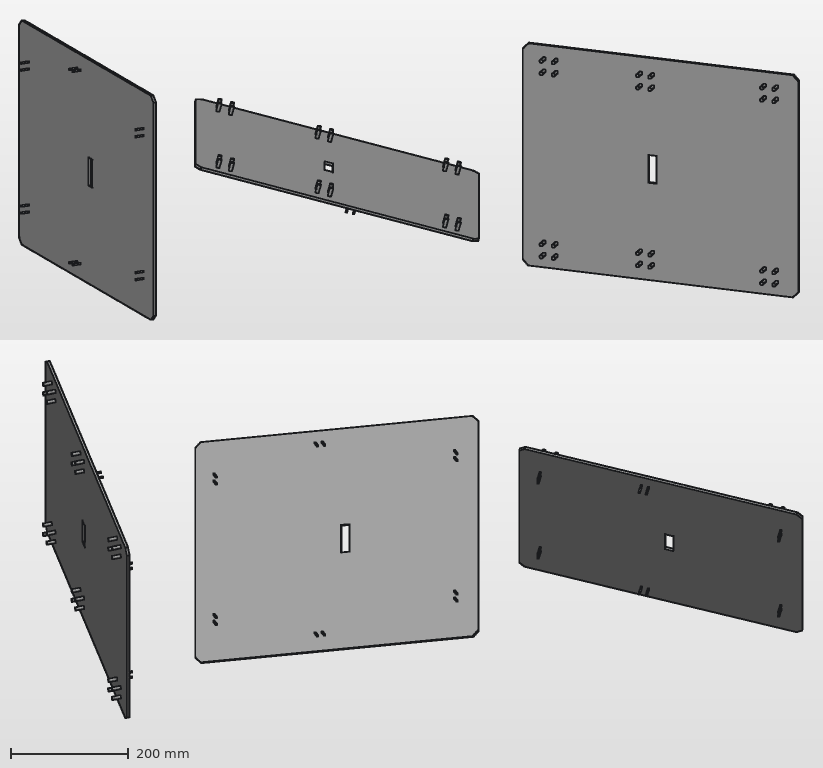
import cadquery as cq

plate_width = 500.0
plate_height = 400.0
plate_thickness = 5.0
corner_cut = 10.0

window_width = 15.0
window_height = 50.0
window_x = 15.0

pin_diameter = 3.0
pin_length = 15.0
pin_pitch = 12.5
side_pair_x = 212.5
side_pair_z = 127.5
end_pair_x = -27.5
end_pair_z = 172.5

post_diameter = 6.0
post_length = 15.0
post_pitch = 22.0
corner_group_x = 200.0
corner_group_z = 165.0
middle_group_x = 25.0
middle_group_z = 160.0

front_y = -plate_thickness / 2
back_y = plate_thickness / 2
half_pin_pitch = pin_pitch / 2
half_post_pitch = post_pitch / 2


def make_plate():
    plate = cq.Workplane("XY").box(plate_width, plate_thickness, plate_height)
    plate = plate.edges("|Y").chamfer(corner_cut)
    window = cq.Workplane("XY").box(window_width, plate_thickness, window_height)
    return plate.cut(window.translate((window_x, 0, 0)))


def make_rods(centres, diameter, y_start, y_end):
    """Round rods parallel to Y at the given (x, z) centres."""
    rods = cq.Workplane("XZ", origin=(0, y_start, 0)).pushPoints(centres)
    return rods.circle(diameter / 2).extrude(y_start - y_end)


pin_centres = []
for z_side in (-1, 1):
    for step in (-half_pin_pitch, half_pin_pitch):
        pin_centres.append((end_pair_x + step, z_side * end_pair_z))
        for x_side in (-1, 1):
            pin_centres.append((x_side * side_pair_x, z_side * side_pair_z + step))

post_centres = []
for z_side in (-1, 1):
    group_centres = [
        (-corner_group_x, z_side * corner_group_z),
        (middle_group_x, z_side * middle_group_z),
        (corner_group_x, z_side * corner_group_z),
    ]
    for group_x, group_z in group_centres:
        for x_step in (-half_post_pitch, half_post_pitch):
            for z_step in (-half_post_pitch, half_post_pitch):
                post_centres.append((group_x + x_step, group_z + z_step))

pins = make_rods(pin_centres, pin_diameter, 0, front_y - pin_length)
posts = make_rods(post_centres, post_diameter, 0, back_y + post_length)

result = make_plate().union(pins).union(posts)